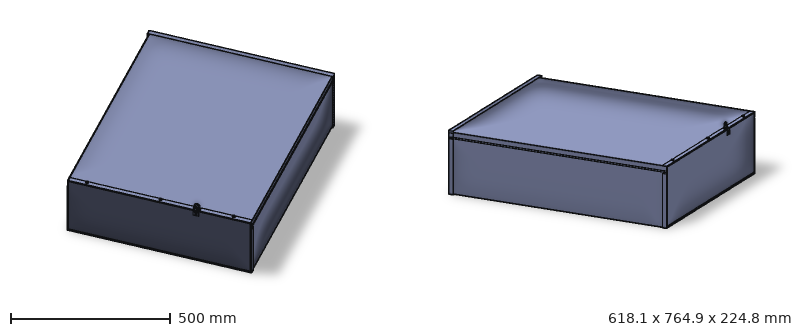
import cadquery as cq

sheet = 1.52
cap_width = 618.12
cap_height = 213.0
cap_depth = 17.6
overall_length = 764.86
overall_height = 224.77
shell_width = 611.4
cap_radius = 3.0
shell_radius = 3.0
cover_radius = 2.5

shell_bottom = sheet
shoulder_z = 185.0
skirt_bottom = 190.0
cover_top = 207.0
cover_under = cover_top - sheet

rim_width = shell_width - 2 * sheet
inner_width = rim_width - 2 * sheet
plate_proud = 1.1
rear_y = overall_length - plate_proud
shell_rear = rear_y - sheet

tab_depth = 14.7
tab_top = 181.0
ledge_depth = 17.0
recess_depth = 0.5
recess_width = 603.4
recess_bottom = 8.0
recess_top = 202.0

boss_bottom_diameter = 18.0
boss_top_diameter = 21.0
boss_x = 220.0
boss_front_y = 38.2
boss_rear_y = rear_y - 42.6

screw_spacing = 243.84
screw_y = 10.3
screw_head_diameter = 9.75
screw_head_height = 2.6
screw_dome_rounding = 1.6
screw_shank_diameter = 4.17
screw_length = 12.0
screw_bottom = cover_top - screw_length
screw_positions = [-screw_spacing, 0, screw_spacing]

latch_x = 121.9
staple_y = 10.2
staple_width = 18.6
staple_thickness = sheet
staple_bottom = 194.0
padlock_hole_diameter = 9.53
slot_width = 24.0
slot_depth = 6.0
latch_bottom = 184.5
latch_top = 197.5
rivet_diameter = 7.14
rivet_sink = 0.4

band_depth = 0.4
cap_bands = [(184.5, skirt_bottom), (204.0, cap_height)]


def block(width, y_range, z_range, x_center=0.0):
    """Box centred on x_center, spanning the given Y and Z ranges."""
    length = y_range[1] - y_range[0]
    height = z_range[1] - z_range[0]
    return (
        cq.Workplane("XY")
        .box(width, length, height, centered=(True, False, False))
        .translate((x_center, y_range[0], z_range[0]))
    )


def vertical_cylinder(diameter, x, y, z_range):
    """Upright cylinder at (x, y)."""
    height = z_range[1] - z_range[0]
    return cq.Workplane("XY", origin=(x, y, z_range[0])).circle(diameter / 2).extrude(height)


def make_shell():
    """Bottom and side walls, open at the top and at both ends."""
    y_range = (sheet, shell_rear)
    body = block(shell_width, y_range, (shell_bottom, shoulder_z))
    body = body.edges("|Y and <Z").fillet(shell_radius)
    body = body.union(block(rim_width, y_range, (shoulder_z, cover_under)))
    cavity = block(inner_width, y_range, (shell_bottom + sheet, cover_under))
    body = body.cut(cavity)
    for x in (-boss_x, boss_x):
        for y in (boss_front_y, boss_rear_y):
            boss = (
                cq.Workplane("XY", origin=(x, y, 0))
                .circle(boss_bottom_diameter / 2)
                .workplane(offset=shell_bottom)
                .circle(boss_top_diameter / 2)
                .loft()
            )
            body = body.union(boss)
    return body


def make_front_panel():
    """Front wall with side tabs over the shell and a ledge under the cover."""
    pan_width = shell_width + 2 * sheet
    panel = block(pan_width, (0, tab_depth), (shell_bottom, tab_top))
    panel = panel.cut(block(shell_width, (sheet, tab_depth), (shell_bottom, tab_top)))
    panel = panel.union(block(shell_width, (0, sheet), (tab_top, shoulder_z)))
    panel = panel.union(block(rim_width, (0, sheet), (shoulder_z, cover_under)))
    ledge = block(inner_width, (sheet, ledge_depth), (cover_under - sheet, cover_under))
    panel = panel.union(ledge)
    panel = panel.cut(block(recess_width, (0, recess_depth), (recess_bottom, recess_top)))
    for x in screw_positions:
        panel = panel.cut(vertical_cylinder(screw_shank_diameter, x, screw_y, (screw_bottom, cover_top)))
    panel = panel.cut(make_staple())
    return panel.cut(make_rivet())


def make_rear_cap():
    """End cap that wraps around the rear of the shell and over the cover."""
    front_y = rear_y - cap_depth
    cap = block(cap_width, (front_y, rear_y), (0, cap_height)).edges("|Y").fillet(cap_radius)
    cap = cap.faces(">Y").edges().fillet(cap_radius)
    opening = block(cap_width - 2 * sheet, (front_y, shell_rear), (sheet, cap_height - sheet))
    cap = cap.cut(opening.edges("|Y").fillet(cap_radius - sheet))
    for side in (-1, 1):
        for band in cap_bands:
            band_x = side * (cap_width - band_depth) / 2
            cap = cap.cut(block(band_depth, (front_y, rear_y), band, band_x))
    return cap


def make_cover():
    """Flat lid with two side skirts, screw holes and the staple slot."""
    y_range = (0, shell_rear)
    cover = block(shell_width, y_range, (skirt_bottom, cover_top))
    cover = cover.edges("|Y and >Z").fillet(cover_radius)
    cover = cover.cut(block(rim_width, y_range, (skirt_bottom, cover_under)))
    for x in screw_positions:
        cover = cover.cut(vertical_cylinder(screw_shank_diameter, x, screw_y, (cover_under, cover_top)))
    slot_range = (staple_y - slot_depth / 2, staple_y + slot_depth / 2)
    return cover.cut(block(slot_width, slot_range, (cover_under, cover_top), latch_x))


def make_screw(x):
    """Round-head cover screw."""
    head_top = cover_top + screw_head_height
    head = vertical_cylinder(screw_head_diameter, x, screw_y, (cover_top, head_top))
    head = head.edges(">Z").fillet(screw_dome_rounding)
    shank = vertical_cylinder(screw_shank_diameter, x, screw_y, (screw_bottom, cover_top))
    return head.union(shank)


def make_staple():
    """Upright plate with a rounded top and a padlock hole."""
    radius = staple_width / 2
    eye_z = overall_height - radius
    back_y = staple_y + staple_thickness / 2
    return (
        cq.Workplane("XZ", origin=(latch_x, back_y, 0))
        .moveTo(-radius, staple_bottom)
        .lineTo(radius, staple_bottom)
        .lineTo(radius, eye_z)
        .threePointArc((0, overall_height), (-radius, eye_z))
        .close()
        .moveTo(0, eye_z)
        .circle(padlock_hole_diameter / 2)
        .extrude(staple_thickness)
    )


def make_rivet():
    """Rivet that holds the latch plate on the front panel."""
    center_z = (latch_bottom + latch_top) / 2
    length = sheet + plate_proud - rivet_sink
    return (
        cq.Workplane("XZ", origin=(latch_x, sheet, center_z))
        .circle(rivet_diameter / 2)
        .extrude(length)
    )


def make_latch_plate():
    """Rectangular plate in the front recess, with a thinner neck up to the recess edge."""
    plate = block(staple_width, (-plate_proud, recess_depth), (latch_bottom, latch_top), latch_x)
    neck = block(staple_width, (0, recess_depth), (latch_top, recess_top), latch_x)
    plate = plate.union(neck)
    return plate.cut(make_rivet())


shell = make_shell()
front_panel = make_front_panel()
rear_cap = make_rear_cap()
cover = make_cover()
staple = make_staple()
latch_plate = make_latch_plate()
rivet = make_rivet()
screws = [make_screw(x) for x in screw_positions]

bodies = [shell, front_panel, rear_cap, cover, staple, latch_plate, rivet, *screws]
result = cq.Compound.makeCompound([body.solids().val() for body in bodies])